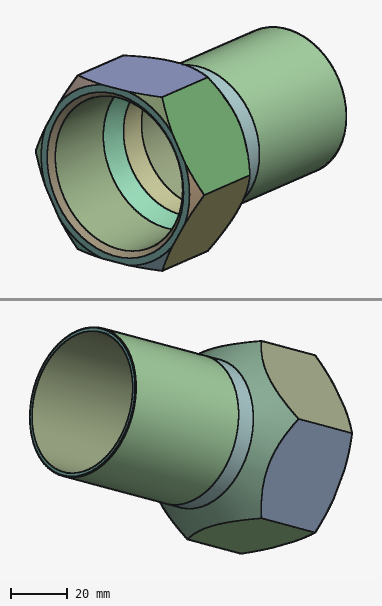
import cadquery as cq
import math

total_length = 98.5

tube_outer_diameter = 54.0
tube_bore_diameter = 51.0
tube_start = 48.1
tube_end_chamfer = 0.3

across_flats = 65.0
across_corners = across_flats / math.cos(math.pi / 6)
adapter_length = tube_start
collar_length = 7.2
face_diameter = 66.0
corner_chamfer_angle = 30.0
shoulder_angle = 48.6

mouth_diameter = 60.7
socket_diameter = 56.6
mouth_depth = 2.1
socket_depth = 29.7
seat_depth = 37.7


def revolve_profile(points):
    """Revolve a closed (radius, Y) outline around the Y axis."""
    return cq.Workplane("XY").polyline(points).close().revolve(360, (0, 0, 0), (0, 1, 0))


def make_adapter_envelope():
    """Turned outside: chamfered front, conical shoulder and round collar."""
    corner_radius = across_corners / 2
    face_radius = face_diameter / 2
    collar_radius = tube_outer_diameter / 2
    chamfer_end = (corner_radius - face_radius) * math.tan(math.radians(corner_chamfer_angle))
    collar_start = adapter_length - collar_length
    shoulder_length = (corner_radius - collar_radius) * math.tan(math.radians(shoulder_angle))
    return revolve_profile([
        (0, 0),
        (face_radius, 0),
        (corner_radius, chamfer_end),
        (corner_radius, collar_start - shoulder_length),
        (collar_radius, collar_start),
        (collar_radius, adapter_length),
        (0, adapter_length),
    ])


def make_adapter_bore():
    """Chamfered mouth, plain socket, conical seat and through bore."""
    return revolve_profile([
        (0, 0),
        (mouth_diameter / 2, 0),
        (socket_diameter / 2, mouth_depth),
        (socket_diameter / 2, socket_depth),
        (tube_bore_diameter / 2, seat_depth),
        (tube_bore_diameter / 2, adapter_length),
        (0, adapter_length),
    ])


def make_adapter():
    hexagon = cq.Workplane("XZ").polygon(6, across_corners).extrude(-adapter_length)
    return hexagon.intersect(make_adapter_envelope()).cut(make_adapter_bore())


def make_tube():
    """Plain tube butted against the collar, with its outer free edge broken."""
    outer_radius = tube_outer_diameter / 2
    bore_radius = tube_bore_diameter / 2
    return revolve_profile([
        (bore_radius, tube_start),
        (outer_radius, tube_start),
        (outer_radius, total_length - tube_end_chamfer),
        (outer_radius - tube_end_chamfer, total_length),
        (bore_radius, total_length),
    ])


adapter = make_adapter()
tube = make_tube()

result = cq.Compound.makeCompound([adapter.val(), tube.val()])